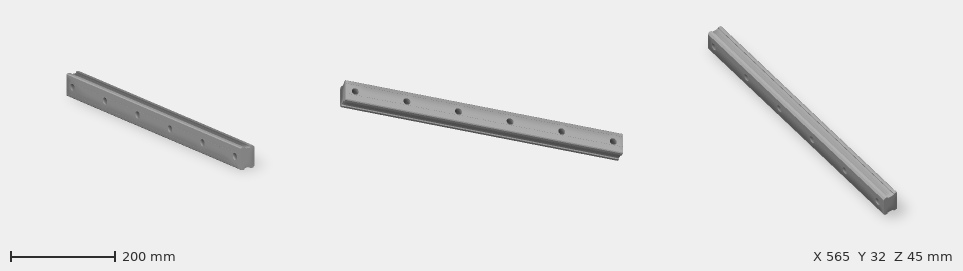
import cadquery as cq

length = 565.0
depth = 32.0
height = 45.0
half_height = height / 2
front_y = -depth / 2
back_y = depth / 2

head_chamfer = 3.7
head_depth = 9.0
groove_depth = 3.5
groove_floor = 7.0
head_slope_run = 3.5
head_slope_rise = 0.5
foot_slope_run = 5.0
foot_slope_rise = 1.5
foot_chamfer = 1.5

channel_inner = 8.0
channel_outer = 14.5
channel_depth = 0.3

hole_count = 6
hole_pitch = 105.0
hole_diameter = 14.0


def half_profile():
    """Upper half of the cross-section, from the front centre to the back centre."""
    floor_z = half_height - groove_depth
    head_y = back_y - head_depth
    floor_back_y = head_y - head_slope_run
    floor_front_y = floor_back_y - groove_floor
    foot_y = floor_front_y - foot_slope_run
    return [
        (front_y, channel_inner),
        (front_y + channel_depth, channel_inner),
        (front_y + channel_depth, channel_outer),
        (front_y, channel_outer),
        (front_y, half_height - foot_chamfer),
        (front_y + foot_chamfer, half_height),
        (foot_y, half_height),
        (foot_y, floor_z + foot_slope_rise),
        (floor_front_y, floor_z),
        (floor_back_y, floor_z),
        (head_y, floor_z + head_slope_rise),
        (head_y, half_height),
        (back_y - head_chamfer, half_height),
        (back_y, half_height - head_chamfer),
    ]


def make_rail():
    upper = half_profile()
    lower = [(y, -z) for y, z in reversed(upper)]
    profile = cq.Workplane("YZ").polyline(upper + lower).close()
    return profile.extrude(length / 2, both=True)


def make_holes():
    return (
        cq.Workplane("XZ")
        .rarray(hole_pitch, 5.5, hole_count, 1)
        .circle(hole_diameter / 2)
        .extrude(depth, both=True)
    )


result = make_rail().cut(make_holes())